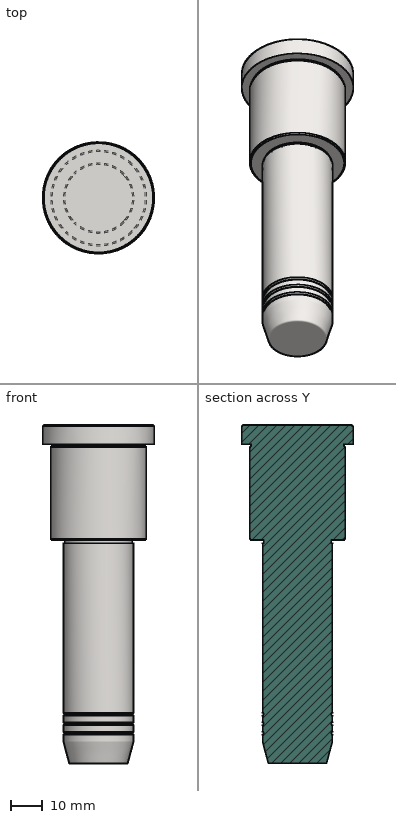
import cadquery as cq
import math

total_length = 106.0
head_diameter = 35.0
head_height = 6.0
head_chamfer = 0.4

collar_diameter = 30.0
collar_bottom_z = 70.0
collar_chamfer = 0.4

shank_diameter = 22.0
taper_height = 7.0
taper_angle = 15.0
tip_fillet = 0.5

head_relief_width = 0.5
collar_relief_width = 1.0
relief_depth = 0.4

groove_count = 3
groove_width = 1.1
groove_depth = 0.4
groove_pitch = 3.0
first_groove_z = 9.0


def cylinder(diameter, bottom_z, top_z):
    """Cylinder about the Z axis between two heights."""
    return cq.Workplane("XY").workplane(offset=bottom_z).circle(diameter / 2).extrude(top_z - bottom_z)


def ring_cutter(diameter, depth, bottom_z, width):
    """Ring that cuts a square groove into a cylinder of the given diameter."""
    return (
        cq.Workplane("XY")
        .workplane(offset=bottom_z)
        .circle(diameter / 2 + depth)
        .circle(diameter / 2 - depth)
        .extrude(width)
    )


def v_groove_cutter(bottom_z):
    """Ring of triangular section that cuts a V groove into the shank."""
    shank_radius = shank_diameter / 2
    profile = [
        (shank_radius, bottom_z),
        (shank_radius - groove_depth, bottom_z + groove_width / 2),
        (shank_radius, bottom_z + groove_width),
    ]
    return cq.Workplane("XZ").polyline(profile).close().revolve(360, (0, 0), (0, 1))


def tapered_tip():
    """Cone that narrows from the shank to a rounded flat end."""
    shank_radius = shank_diameter / 2
    tip_radius = shank_radius - taper_height * math.tan(math.radians(taper_angle))
    profile = [(0, 0), (tip_radius, 0), (shank_radius, taper_height), (0, taper_height)]
    cone = cq.Workplane("XZ").polyline(profile).close().revolve(360, (0, 0), (0, 1))
    return cone.faces("<Z").edges().fillet(tip_fillet)


head_bottom_z = total_length - head_height
collar_top_z = head_bottom_z - head_relief_width
collar_relief_z = collar_bottom_z - collar_relief_width

head = cylinder(head_diameter, head_bottom_z, total_length).faces(">Z").chamfer(head_chamfer)

collar = cylinder(collar_diameter, collar_bottom_z, collar_top_z).edges().chamfer(collar_chamfer)
head_neck = cylinder(collar_diameter - 2 * relief_depth, collar_top_z, head_bottom_z)

shank = cylinder(shank_diameter, taper_height, collar_bottom_z)
shank = shank.cut(ring_cutter(shank_diameter, relief_depth, collar_relief_z, collar_relief_width))
for index in range(groove_count):
    groove_z = first_groove_z + index * groove_pitch
    shank = shank.cut(v_groove_cutter(groove_z))

result = tapered_tip().union(shank).union(collar).union(head_neck).union(head)